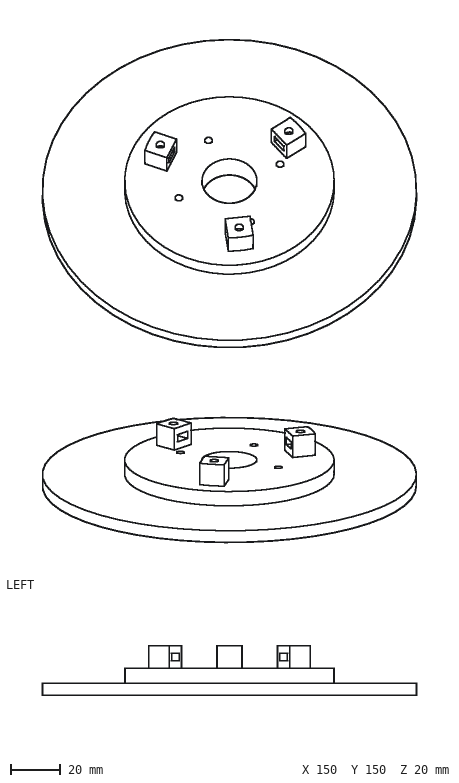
import cadquery as cq

disc_diameter = 150.0
disc_thickness = 5.0
hub_diameter = 84.0
hub_height = 6.0
bore_diameter = 22.0
hub_top = disc_thickness + hub_height

mount_hole_diameter = 3.0
mount_hole_spacing = 31.0

block_count = 3
first_block_angle = 60.0
block_width = 10.0
block_height = 9.0
block_inner_distance = 25.0
block_outer_radius = 35.0
screw_hole_diameter = 3.3
screw_hole_radius = 30.0

pocket_width = 6.0
pocket_height = 3.0
pocket_depth = screw_hole_radius - block_inner_distance + pocket_width / 2


def make_disc():
    """Disc with raised hub, central bore and four mounting holes."""
    disc = cq.Workplane("XY").circle(disc_diameter / 2).extrude(disc_thickness)
    disc = disc.faces(">Z").workplane().circle(hub_diameter / 2).extrude(hub_height)
    disc = disc.faces(">Z").workplane().hole(bore_diameter)
    return (
        disc.faces(">Z")
        .workplane()
        .rect(mount_hole_spacing, mount_hole_spacing, forConstruction=True)
        .vertices()
        .hole(mount_hole_diameter)
    )


def make_block():
    """Block on the +X axis, flat inside and concentric with the disc outside."""
    half_width = block_width / 2
    corner_x = (block_outer_radius**2 - half_width**2) ** 0.5
    block = (
        cq.Workplane("XY", origin=(0, 0, hub_top))
        .moveTo(block_inner_distance, -half_width)
        .lineTo(corner_x, -half_width)
        .threePointArc((block_outer_radius, 0), (corner_x, half_width))
        .lineTo(block_inner_distance, half_width)
        .close()
        .extrude(block_height)
    )
    screw_hole = (
        cq.Workplane("XY", origin=(screw_hole_radius, 0, hub_top + block_height / 2))
        .circle(screw_hole_diameter / 2)
        .extrude(block_height / 2)
    )
    nut_pocket = (
        cq.Workplane("YZ", origin=(block_inner_distance, 0, hub_top + block_height / 2))
        .rect(pocket_width, pocket_height)
        .extrude(pocket_depth)
    )
    return block.cut(screw_hole).cut(nut_pocket)


result = make_disc()
block = make_block()
for index in range(block_count):
    angle = first_block_angle + index * 360.0 / block_count
    result = result.union(block.rotate((0, 0, 0), (0, 0, 1), angle))